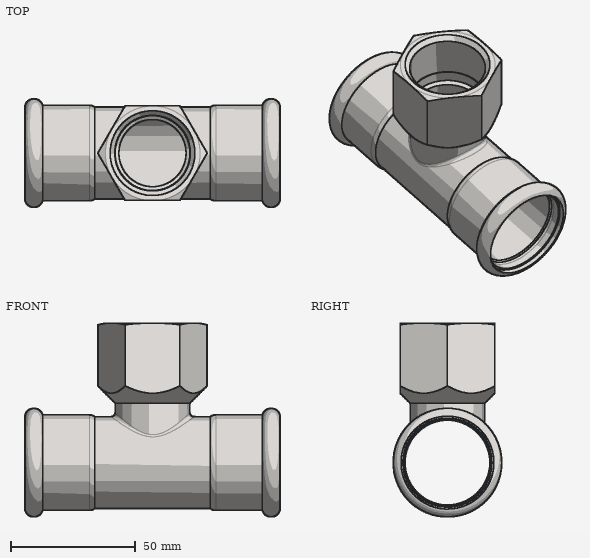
import cadquery as cq
import math

half_length = 51.2
bead_outer_radius = 43.7 / 2
bead_section_radius = 3.7
socket_radius = 38.4 / 2
middle_radius = 37.0 / 2
run_bore_radius = 34.0 / 2
lip_radius = 18.7
seal_outer_radius = 35.8 / 2
seal_inner_radius = 35.4 / 2
shoulder_outer_x = 25.3
shoulder_inner_x = 23.2

lip_depth = 2.2
seal_seat_depth = 5.3
seal_taper_depth = 6.4
entry_depth = 6.9

branch_top = 56.0
neck_radius = 30.0 / 2
neck_top = 23.9
neck_fillet = 1.5
hex_across_flats = 38.0
hex_cone_radius = 15.1
hex_top_chamfer_angle = 12.5
branch_bore_radius = 27.0 / 2
thread_relief_radius = 30.0 / 2
thread_bore_radius = 30.3 / 2
mouth_radius = 34.0 / 2
thread_bottom = 37.0
relief_bottom = 32.3
bore_cone_height = 0.9

bead_center_radius = bead_outer_radius - bead_section_radius
lip_offset = math.sqrt(bead_section_radius**2 - (lip_radius - bead_center_radius) ** 2)
socket_offset = math.sqrt(bead_section_radius**2 - (socket_radius - bead_center_radius) ** 2)
bead_center_x = half_length - lip_offset
hex_corner_radius = hex_across_flats / math.sqrt(3)


def revolve_about_x(profile):
    return profile.close().revolve(360, (0, 0, 0), (1, 0, 0))


def revolve_about_z(profile):
    return profile.close().revolve(360, (0, 0, 0), (0, 1, 0))


def cylinder_along_x(radius, half_span):
    return cq.Workplane("YZ").workplane(offset=-half_span).circle(radius).extrude(2 * half_span)


def run_outside():
    """Solid run: a middle cylinder with a beaded socket at each end."""
    middle = cylinder_along_x(middle_radius, shoulder_inner_x)
    socket = revolve_about_x(
        cq.Workplane("XY")
        .moveTo(shoulder_inner_x, 0)
        .lineTo(half_length, 0)
        .lineTo(half_length, lip_radius)
        .threePointArc(
            (bead_center_x, bead_outer_radius),
            (bead_center_x - socket_offset, socket_radius),
        )
        .lineTo(shoulder_outer_x, socket_radius)
        .tangentArcPoint((shoulder_inner_x, middle_radius), relative=False)
    )
    return middle.union(socket).union(socket.mirror("YZ"))


def socket_entry():
    """Stepped entry of the right socket, narrowing to the run bore."""
    return revolve_about_x(
        cq.Workplane("XY")
        .moveTo(half_length, 0)
        .lineTo(half_length, lip_radius)
        .lineTo(half_length - lip_depth, lip_radius)
        .lineTo(half_length - lip_depth, seal_outer_radius)
        .lineTo(half_length - seal_seat_depth, seal_outer_radius)
        .lineTo(half_length - seal_taper_depth, seal_inner_radius)
        .lineTo(half_length - entry_depth, run_bore_radius)
        .lineTo(half_length - entry_depth, 0)
    )


def run_bore():
    """Through bore with a socket entry at each end."""
    bore = cylinder_along_x(run_bore_radius, half_length)
    entry = socket_entry()
    return bore.union(entry).union(entry.mirror("YZ"))


def hexagonal_end():
    """Hexagon trimmed by a shallow top cone and a 45 degree bottom cone."""
    hexagon = (
        cq.Workplane("XY")
        .workplane(offset=neck_top)
        .polygon(6, 2 * hex_corner_radius)
        .extrude(branch_top - neck_top)
    )
    flat_radius = hex_across_flats / 2
    envelope_radius = hex_corner_radius + 1.0
    top_drop = (envelope_radius - flat_radius) * math.tan(math.radians(hex_top_chamfer_angle))
    envelope = revolve_about_z(
        cq.Workplane("XZ")
        .moveTo(0, neck_top)
        .lineTo(hex_cone_radius, neck_top)
        .lineTo(envelope_radius, neck_top + envelope_radius - hex_cone_radius)
        .lineTo(envelope_radius, branch_top - top_drop)
        .lineTo(flat_radius, branch_top)
        .lineTo(0, branch_top)
    )
    return hexagon.intersect(envelope)


def branch_bore():
    """Thread bore with a 45 degree mouth, a relief below it and a cone down to the neck bore."""
    return revolve_about_z(
        cq.Workplane("XZ")
        .moveTo(0, 0)
        .lineTo(branch_bore_radius, 0)
        .lineTo(branch_bore_radius, relief_bottom - bore_cone_height)
        .lineTo(thread_relief_radius, relief_bottom)
        .lineTo(thread_relief_radius, thread_bottom)
        .lineTo(thread_bore_radius, thread_bottom)
        .lineTo(thread_bore_radius, branch_top - (mouth_radius - thread_bore_radius))
        .lineTo(mouth_radius, branch_top)
        .lineTo(0, branch_top)
    )


neck = cq.Workplane("XY").circle(neck_radius).extrude(neck_top)
body = run_outside().union(neck)

joint_box = cq.selectors.BoxSelector(
    (-neck_radius - 1, -neck_radius - 1, 1),
    (neck_radius + 1, neck_radius + 1, neck_top - 1),
    boundingbox=True,
)
body = body.edges(joint_box).fillet(neck_fillet)

result = body.union(hexagonal_end()).cut(run_bore()).cut(branch_bore())